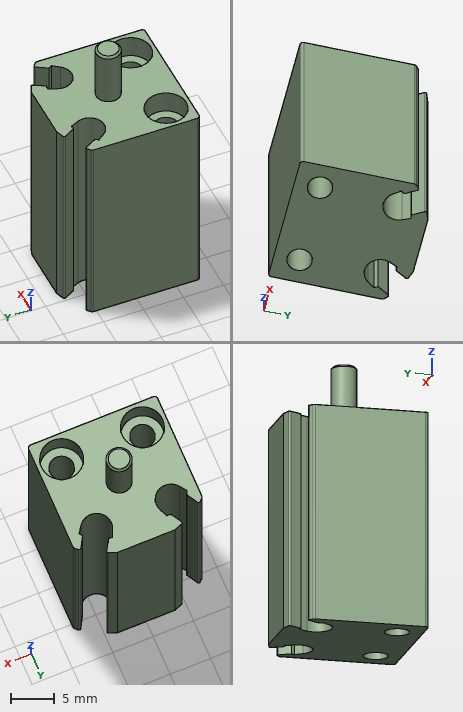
import cadquery as cq
import math

width = 16.0
half_width = width / 2
total_height = 32.5
block_height = 25.5
corner_radius = 0.4

pin_diameter = 3.0
pin_tip_diameter = 2.47
pin_chamfer = (pin_diameter - pin_tip_diameter) / 2

hole_spacing = 10.0
hole_y = -hole_spacing / 2
hole_diameter = 2.9
counterbore_diameter = 5.0
counterbore_depth = 2.83

top_land_width = 7.1
bevel_inner_angle = 20.0
bevel_outer_angle = 42.0
bevel_side_y = 5.52
mouth_edge_radius = 0.2

slot_x = 4.6
slot_y = 4.35
slot_tilt = 30.0
slot_radius = 1.82
mouth_width = 3.0
lip_height = 1.07
shoulder_half_width = 1.92
shoulder_height = 0.85
slot_reach = 6.5

edge_tolerance = 0.003


def block_body():
    """Block with rounded edges along its +X and -X sides, and +Y corners cut by bevels."""
    land = top_land_width / 2
    inner_slope = math.tan(math.radians(bevel_inner_angle))
    outer_slope = math.tan(math.radians(bevel_outer_angle))
    drop = half_width - bevel_side_y - outer_slope * (half_width - land)
    run = drop / (inner_slope - outer_slope)
    knee_x = land + run
    knee_y = half_width - run * inner_slope
    outline = [
        (-half_width, -half_width),
        (half_width, -half_width),
        (half_width, bevel_side_y),
        (knee_x, knee_y),
        (land, half_width),
        (-land, half_width),
        (-knee_x, knee_y),
        (-half_width, bevel_side_y),
    ]
    body = cq.Workplane("XY").polyline(outline).close().extrude(block_height)
    return body.faces("<X or >X").edges("|Z").fillet(corner_radius)


def slot_cutter(side):
    """Slot on the given side (-1 or +1): round floor, flared flanks, shoulders and parallel mouth."""
    distance = math.hypot(shoulder_half_width, shoulder_height)
    touch_angle = math.atan2(shoulder_height, shoulder_half_width) - math.acos(slot_radius / distance)
    touch_x = slot_radius * math.cos(touch_angle)
    touch_y = slot_radius * math.sin(touch_angle)
    mouth = mouth_width / 2
    cutter = (
        cq.Workplane("XY")
        .moveTo(mouth, slot_reach)
        .lineTo(mouth, lip_height)
        .lineTo(shoulder_half_width, shoulder_height)
        .lineTo(touch_x, touch_y)
        .threePointArc((0, -slot_radius), (-touch_x, touch_y))
        .lineTo(-shoulder_half_width, shoulder_height)
        .lineTo(-mouth, lip_height)
        .lineTo(-mouth, slot_reach)
        .close()
        .extrude(block_height)
    )
    tilted = cutter.rotate((0, 0, 0), (0, 0, 1), -side * slot_tilt)
    return tilted.translate((side * slot_x, slot_y, 0))


def round_mouth_edges(body):
    """Round the vertical edges where each slot mouth, beyond its lips, meets the bevels."""
    tilt = math.radians(slot_tilt)
    for side in (-1, 1):
        axis = cq.Vector(side * math.sin(tilt), math.cos(tilt), 0)
        across = cq.Vector(math.cos(tilt), -side * math.sin(tilt), 0)
        centre = cq.Vector(side * slot_x, slot_y, 0)
        edges = []
        for edge in body.edges("|Z").vals():
            offset = edge.Center() - centre
            on_mouth = abs(abs(offset.dot(across)) - mouth_width / 2) < edge_tolerance
            if on_mouth and offset.dot(axis) > lip_height + edge_tolerance:
                edges.append(edge)
        body = body.newObject(edges).fillet(mouth_edge_radius)
    return body


def make_block():
    body = block_body()
    for side in (-1, 1):
        body = body.cut(slot_cutter(side))
    body = round_mouth_edges(body)
    return (
        body.faces(">Z")
        .workplane(origin=(0, 0, block_height))
        .pushPoints([(-hole_spacing / 2, hole_y), (hole_spacing / 2, hole_y)])
        .cboreHole(hole_diameter, counterbore_diameter, counterbore_depth)
    )


def make_pin():
    return (
        cq.Workplane("XY", origin=(0, 0, block_height))
        .circle(pin_diameter / 2)
        .extrude(total_height - block_height)
        .faces(">Z")
        .chamfer(pin_chamfer)
    )


block = make_block()
pin = make_pin()
result = cq.Compound.makeCompound([block.val(), pin.val()])